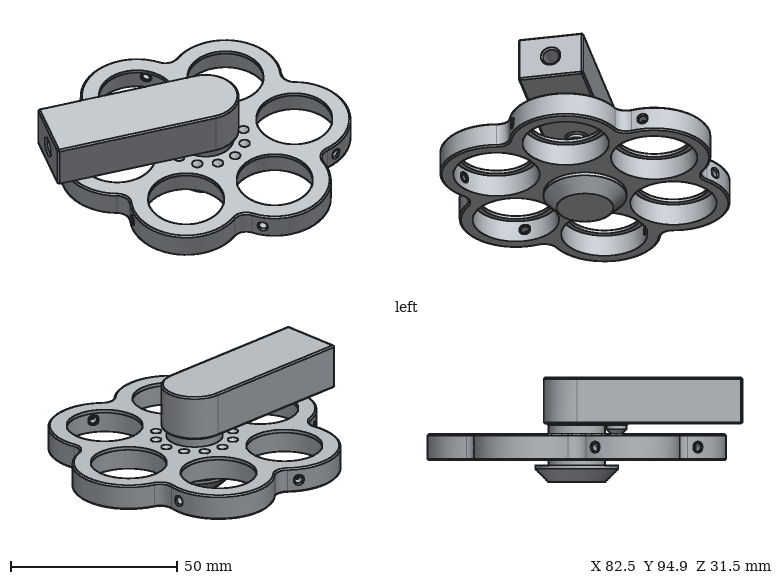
import cadquery as cq
import math


cell_count = 6
cell_circle_radius = 28.0
cell_outer_radius = 17.0
neck_fillet = 4.0
wheel_thickness = 8.0
edge_chamfer = 0.5

lip_radius = 11.5
lip_thickness = 1.0
pocket_radius = 13.0

screw_hole_radius = 1.2
screw_mouth_radius = 1.7
screw_turn = -60

detent_count = 12
detent_circle_radius = 12.0
detent_radius = 1.6
detent_depth = detent_radius
plunger_radius = 3.0

hub_radius = 8.5
knob_gap = 1.5
knob_radius = 12.5
knob_rim = 1.0
knob_height = 5.0
knob_taper = knob_height - knob_rim

root_flare = edge_chamfer

arm_gap = 3.0
arm_height = 14.0
arm_width = 19.9
arm_reach = 49.9
arm_hole_radius = 2.5
arm_hole_mouth_radius = 3.0
arm_hole_depth = 15.0
drill_point_half_angle = 59

arm_bottom = wheel_thickness + arm_gap
arm_mid_height = arm_bottom + arm_height / 2
cell_spacing_angle = 360 / cell_count


def polar(radius, angle):
    """Point at the given radius and angle in degrees."""
    turn = math.radians(angle)
    return (radius * math.cos(turn), radius * math.sin(turn))


def cell_angles():
    return [90 + i * cell_spacing_angle for i in range(cell_count)]


def disc(radius, bottom, height):
    return cq.Workplane("XY").workplane(offset=bottom).circle(radius).extrude(height)


def cone_along(start, direction, start_radius, end_radius, length):
    solid = cq.Solid.makeCone(start_radius, end_radius, length, cq.Vector(*start), cq.Vector(*direction))
    return cq.Workplane(obj=solid)


def cell_outline():
    """Scalloped outline: outer cell arcs joined by concave neck arcs."""
    half_spacing = cell_spacing_angle / 2
    mid_radius, half_distance = polar(cell_circle_radius, half_spacing)
    center_distance = cell_outer_radius + neck_fillet
    neck_angle = math.degrees(math.acos(half_distance / center_distance))
    arc_half_angle = 90 + half_spacing - neck_angle
    neck_circle_radius = mid_radius + math.sqrt(center_distance**2 - half_distance**2)

    def on_cell(angle, turn):
        center = polar(cell_circle_radius, angle)
        offset = polar(cell_outer_radius, angle + turn)
        return (center[0] + offset[0], center[1] + offset[1])

    outline = cq.Workplane("XY").moveTo(*on_cell(cell_angles()[0], -arc_half_angle))
    for angle in cell_angles():
        outline = outline.threePointArc(on_cell(angle, 0), on_cell(angle, arc_half_angle))
        neck_mid = polar(neck_circle_radius - neck_fillet, angle + half_spacing)
        outline = outline.threePointArc(neck_mid, on_cell(angle + cell_spacing_angle, -arc_half_angle))
    return outline.close()


def screw_hole(angle):
    """Radial hole through one cell wall, countersunk at both ends."""
    center = polar(cell_circle_radius, angle)
    direction = polar(1, angle + screw_turn)

    def point(distance):
        x = center[0] + distance * direction[0]
        y = center[1] + distance * direction[1]
        return (x, y, wheel_thickness / 2)

    outward = (direction[0], direction[1], 0)
    inward = (-direction[0], -direction[1], 0)
    countersink = screw_mouth_radius - screw_hole_radius
    drill_start = cq.Vector(*point(lip_radius))
    drill = cq.Workplane(
        obj=cq.Solid.makeCylinder(screw_hole_radius, cell_outer_radius, drill_start, cq.Vector(*outward))
    )
    mouth_size = (screw_mouth_radius, screw_hole_radius, countersink)
    outer_mouth = cone_along(point(cell_outer_radius), inward, *mouth_size)
    inner_mouth = cone_along(point(pocket_radius), outward, *mouth_size)
    return drill.union(outer_mouth).union(inner_mouth)


def wheel():
    body = cell_outline().extrude(wheel_thickness)
    body = body.faces("<Z or >Z").edges().chamfer(edge_chamfer)
    for angle in cell_angles():
        center = polar(cell_circle_radius, angle)
        body = body.cut(disc(lip_radius, 0, wheel_thickness).translate(center))
        body = body.cut(disc(pocket_radius, 0, wheel_thickness - lip_thickness).translate(center))
    for angle in cell_angles():
        body = body.cut(screw_hole(angle))
    for i in range(detent_count):
        x, y = polar(detent_circle_radius, i * 360 / detent_count)
        body = body.cut(cone_along((x, y, wheel_thickness), (0, 0, -1), detent_radius, 0, detent_depth))
    return body


def flare(radius):
    """Conical collar on the Z axis that widens a pin up to the underside of the arm."""
    start = (0, 0, arm_bottom - root_flare)
    return cone_along(start, (0, 0, 1), radius, radius + root_flare, root_flare)


def hub_and_knob():
    knob = disc(knob_radius, -knob_gap - knob_height, knob_height).faces("<Z").chamfer(knob_taper)
    hub = disc(hub_radius, -knob_gap, knob_gap + arm_bottom)
    return hub.union(knob).union(flare(hub_radius))


def plunger():
    """Pin under the arm whose conical tip fills the detent below it."""
    tip_length = plunger_radius * detent_depth / detent_radius
    tip_top = wheel_thickness - detent_depth + tip_length
    pin = disc(plunger_radius, tip_top, arm_bottom - tip_top)
    tip = cone_along((0, 0, tip_top), (0, 0, -1), plunger_radius, 0, tip_length)
    return pin.union(tip).union(flare(plunger_radius)).translate((0, -detent_circle_radius, 0))


def arm():
    """Bar with one round end over the hub and a blind hole in its square end."""
    half_width = arm_width / 2
    bar = (
        cq.Workplane("XY")
        .workplane(offset=arm_bottom)
        .moveTo(half_width, -arm_reach)
        .lineTo(half_width, 0)
        .threePointArc((0, half_width), (-half_width, 0))
        .lineTo(-half_width, -arm_reach)
        .close()
        .extrude(arm_height)
    )
    bar = bar.faces("<Z or >Z or <Y").edges().chamfer(edge_chamfer)
    countersink = arm_hole_mouth_radius - arm_hole_radius
    point_length = arm_hole_radius / math.tan(math.radians(drill_point_half_angle))
    hole_profile = [
        (0, -arm_reach),
        (arm_hole_mouth_radius, -arm_reach),
        (arm_hole_radius, -arm_reach + countersink),
        (arm_hole_radius, -arm_reach + arm_hole_depth),
        (0, -arm_reach + arm_hole_depth + point_length),
    ]
    hole = (
        cq.Workplane("XY")
        .workplane(offset=arm_mid_height)
        .polyline(hole_profile)
        .close()
        .revolve(360, (0, 0, 0), (0, 1, 0))
    )
    return bar.cut(hole)


result = wheel().union(hub_and_knob()).union(plunger()).union(arm()).solids()